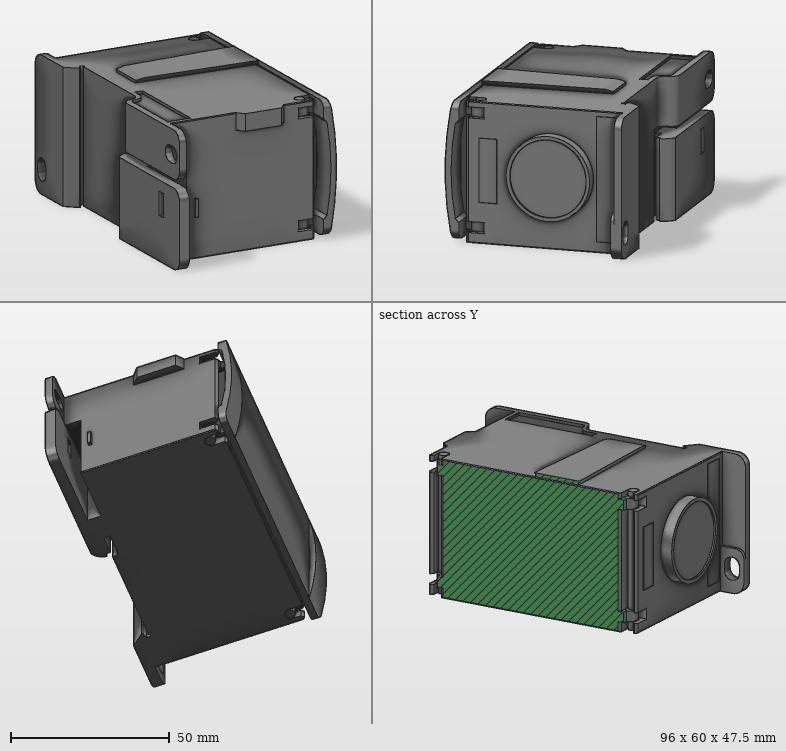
import cadquery as cq
import math


TOTAL_LENGTH = 96.0
TOTAL_DEPTH = 60.0
TOTAL_WIDTH = 47.5
BODY_WIDTH = 46.0
X_END = TOTAL_LENGTH / 2

BODY_LENGTH = 77.0
BODY_CENTER_X = -0.93
BODY_LEFT = BODY_CENTER_X - BODY_LENGTH / 2
BODY_RIGHT = BODY_CENTER_X + BODY_LENGTH / 2
WALL_TOP = 53.2
DECK_TOP = 55.2
EDGE_CHAMFER = 0.3
OVERLAP = 1.0

CHANNEL_Y = 5.9
HOOK_TIP_X = -26.1
HOOK_ROOT_X = -27.9
HOOK_FOOT_X = -29.5
HOOK_TIP_Y = (4.0, 4.4)
HOOK_NOSE = (-26.8, 3.1)
HOOK_FOOT_BEVEL = 0.5
HOOK_ROOT_Y = 5.0
RELIEF_WIDTH = 0.9
RELIEF_RISE = 0.6
STEP_START_X = 6.9
STEP_RADIUS = CHANNEL_Y / 2

FOOT_THICKNESS = 2.4
FOOT_THICK_PAD = 3.5
FOOT_CORNER = 4.0
PAD_END_Z = 15.0
PAD_CORNER = 3.0
SLOT_WIDTH = 5.5
SLOT_LENGTH = 7.6
LEFT_SLOT_CENTER = (-43.6, 8.2)
RIGHT_SLOT_CENTER = (42.3, 37.6)

CLIP_WIDTH = 26.8
CLIP_BAY_WIDTH = 29.8
CLIP_BAY_X = 4.35
CLIP_BAY_ROOF = 8.0
CLIP_BAY_LEAD_IN = (1.0, 0.6)
CLIP_NOSE_X = 5.2
CLIP_NECK_X = 6.2
CLIP_FOOT_X = 7.9
CLIP_NOSE_BULGE = (6.1, 1.6)
CLIP_BLOCK_LEFT = 12.0
CLIP_BLOCK_RIGHT = 20.0
CLIP_NOSE_Y = 3.8
CLIP_NECK_Y = 4.4
CLIP_WINDOW_X = (34.4, 37.1)
CLIP_WINDOW_Z = (15.1, 23.1)

COVER_LENGTH = 83.1
COVER_Z = (1.4, BODY_WIDTH)
COVER_MID_Z = sum(COVER_Z) / 2
COVER_BACK = 55.4
COVER_FLAT = 57.7
COVER_WALL = 2.0
COVER_CORNER = 2.9
COVER_END_LENGTH = 9.2
ARCH_HALF_LENGTH = 16.6
ARCH_END_DROP = 1.2
ARCH_END_Y = 56.6
HINGE_OFFSET_X = 34.95
HINGE_Y = 50.3
HINGE_SOCKET_RADIUS = 1.8
HINGE_PIN_RADIUS = 1.6
HINGE_ARM_WIDTH = 3.6
HINGE_ARM_INSET = 16.8
HINGE_WINDOW_Y = 48.0
ARM_SHOULDER_Y = 53.5
ARM_SHOULDER_RADIUS = 2.4
ARM_STEM_OFFSET = 0.5
LIP_PEAK_RISE = 0.9
DECK_CORNER_OFFSET = 2.6
SEAT_INSET = 1.0

DIAL_RADIUS = 13.8
DIAL_RECESS_RADIUS = 12.6
DIAL_RECESS_DEPTH = 0.6
DIAL_HEIGHT = 4.0
DIAL_CENTER = (25.7, COVER_MID_Z)
PANEL_DEPTH = 0.2
LABEL_PANEL = (43.9, 49.8, 13.3, 34.2)
FOOT_PANEL = (4.2, 11.0, 3.5, 44.2)
STRAP_MID_X = -10.75
STRAP_HALF_TOP = 8.3
STRAP_HALF_TIP = 6.8
STRAP_TIP_Y = 12.4
STRAP_BEVEL_Y = 15.4
STRAP_TIP_HEIGHT = 0.9
STRAP_UNDERCUT = 0.5
POCKET_DEPTH = 1.0
POCKET_X = (3.7, 35.6)
POCKET_Y = (FOOT_THICKNESS, 7.8)
POCKET_TOP = 10.5
POCKET_OUTER_RADIUS = 3.9
POCKET_INNER_RADIUS = 1.5
POCKET_STEP_X = 6.9
BUMP_HEIGHT = 2.3
BUMP_Y = (25.8, 42.8)
BUMP_BEVEL = 2.0
BUMP_BOTTOM_Z = 40.2
NUB_Y = (10.7, 11.7)
NUB_Z = (14.0, 20.0)
NUB_HEIGHT = 1.1


def box(x_range, y_range, z_range):
    """Axis-aligned box between the given limits."""
    size = [limits[1] - limits[0] for limits in (x_range, y_range, z_range)]
    corner = (x_range[0], y_range[0], z_range[0])
    return cq.Workplane("XY").box(*size, centered=False).translate(corner)


def plan(z=0.0):
    """Sketch plane parallel to XY at height z."""
    return cq.Workplane("XY").workplane(offset=z)


def extrude_along_x(profile, x_start, length):
    """Prism along +X from (y, z) points."""
    return cq.Workplane("YZ").workplane(offset=x_start).polyline(profile).close().extrude(length)


def mirror_x(solid):
    """Copy of a solid reflected about the housing's middle plane."""
    return solid.mirror("YZ", (BODY_CENTER_X, 0, 0))


def make_housing():
    """Housing block with the rail channel below and a hinge lip at each upper corner."""
    corner = math.sqrt(0.5)
    step_mid_x = STEP_START_X + STEP_RADIUS
    step_end_x = step_mid_x + STEP_RADIUS
    socket_x = HINGE_OFFSET_X
    lip_inner = socket_x + HINGE_SOCKET_RADIUS
    lip_outer = BODY_LENGTH / 2
    lip_mid = (lip_inner + lip_outer) / 2
    deck_corner = socket_x - DECK_CORNER_OFFSET
    relief_end = HOOK_ROOT_X + RELIEF_WIDTH
    arc_a = (STEP_START_X + STEP_RADIUS * corner, CHANNEL_Y - STEP_RADIUS * (1 - corner))
    arc_b = (step_end_x - STEP_RADIUS * corner, STEP_RADIUS * (1 - corner))
    housing = (
        plan()
        .moveTo(BODY_LEFT, 0)
        .lineTo(HOOK_FOOT_X, 0)
        .lineTo(HOOK_FOOT_X + HOOK_FOOT_BEVEL, HOOK_FOOT_BEVEL)
        .lineTo(*HOOK_NOSE)
        .lineTo(HOOK_TIP_X, HOOK_TIP_Y[0])
        .lineTo(HOOK_TIP_X, HOOK_TIP_Y[1])
        .lineTo(HOOK_ROOT_X, HOOK_ROOT_Y)
        .lineTo(HOOK_ROOT_X, CHANNEL_Y)
        .threePointArc((HOOK_ROOT_X + RELIEF_WIDTH / 2, CHANNEL_Y + RELIEF_RISE), (relief_end, CHANNEL_Y))
        .lineTo(STEP_START_X, CHANNEL_Y)
        .threePointArc(arc_a, (step_mid_x, STEP_RADIUS))
        .threePointArc(arc_b, (step_end_x, 0))
        .lineTo(BODY_RIGHT, 0)
        .lineTo(BODY_RIGHT, WALL_TOP)
        .lineTo(BODY_CENTER_X + lip_mid, WALL_TOP + LIP_PEAK_RISE)
        .lineTo(BODY_CENTER_X + lip_inner, WALL_TOP)
        .lineTo(BODY_CENTER_X + socket_x, WALL_TOP)
        .lineTo(BODY_CENTER_X + deck_corner, DECK_TOP)
        .lineTo(BODY_CENTER_X - deck_corner, DECK_TOP)
        .lineTo(BODY_CENTER_X - socket_x, WALL_TOP)
        .lineTo(BODY_CENTER_X - lip_inner, WALL_TOP)
        .lineTo(BODY_CENTER_X - lip_mid, WALL_TOP + LIP_PEAK_RISE)
        .lineTo(BODY_LEFT, WALL_TOP)
        .close()
        .extrude(BODY_WIDTH)
    )
    return housing.faces("<X or >X or >Y").edges("|X or |Y").chamfer(EDGE_CHAMFER)


def foot(x_range, thickness, z_range, rounded_side):
    """Flat foot plate with its two free corners rounded."""
    plate = box(x_range, (0, thickness), z_range)
    return plate.faces(rounded_side).edges("|Y").fillet(FOOT_CORNER)


def slot_cutter(center, angle):
    """Rounded slot running through a foot along Y."""
    plane = cq.Workplane("XZ", origin=(center[0], 0, center[1]))
    return plane.slot2D(SLOT_LENGTH, SLOT_WIDTH, angle).extrude(-CLIP_BAY_ROOF)


def make_left_foot():
    """Full-width plate with a thicker pad around the slot at the low-Z end."""
    x_range = (-X_END, BODY_LEFT + OVERLAP)
    plate = foot(x_range, FOOT_THICKNESS, (0, BODY_WIDTH), "<X")
    pad = box(x_range, (0, FOOT_THICK_PAD), (0, PAD_END_Z))
    pad = pad.edges("|Y and <X and <Z").fillet(FOOT_CORNER)
    pad = pad.edges("|Y and <X and >Z").fillet(PAD_CORNER)
    return plate.union(pad)


def make_clip_bay():
    """Open bay for the rail clip, its roof sloping near the channel."""
    lead_x, lead_y = CLIP_BAY_LEAD_IN
    outline = [
        (CLIP_BAY_X, 0),
        (X_END, 0),
        (X_END, CLIP_BAY_ROOF),
        (CLIP_BAY_X + lead_x, CLIP_BAY_ROOF),
        (CLIP_BAY_X, CLIP_BAY_ROOF - lead_y),
    ]
    return plan().polyline(outline).close().extrude(CLIP_BAY_WIDTH)


def make_rail_clip():
    """Spring clip with a rounded nose, joined to the roof of its bay by a block."""
    block = (
        plan()
        .moveTo(CLIP_FOOT_X, 0)
        .threePointArc(CLIP_NOSE_BULGE, (CLIP_NOSE_X, CLIP_NOSE_Y))
        .lineTo(CLIP_NOSE_X, CLIP_NECK_Y)
        .lineTo(CLIP_NECK_X, CLIP_NECK_Y)
        .lineTo(CLIP_NECK_X, CHANNEL_Y)
        .lineTo(CLIP_BLOCK_LEFT, CHANNEL_Y)
        .lineTo(CLIP_BLOCK_LEFT, CLIP_BAY_ROOF)
        .lineTo(CLIP_BLOCK_RIGHT, CLIP_BAY_ROOF)
        .lineTo(CLIP_BLOCK_RIGHT, 0)
        .close()
        .extrude(CLIP_WIDTH)
    )
    plate = foot((CLIP_BLOCK_RIGHT - OVERLAP, X_END), FOOT_THICK_PAD, (0, CLIP_WIDTH), ">X")
    window = box(CLIP_WINDOW_X, (0, FOOT_THICK_PAD), CLIP_WINDOW_Z)
    return block.union(plate).cut(window)


def make_cover():
    """Arched cover: a flat middle with a hollowed arch across each end."""
    half_length = COVER_LENGTH / 2
    left = BODY_CENTER_X - half_length
    outer = (
        cq.Workplane("YZ")
        .workplane(offset=left)
        .moveTo(COVER_BACK, COVER_Z[0])
        .lineTo(COVER_FLAT, COVER_Z[0])
        .threePointArc((TOTAL_DEPTH, COVER_MID_Z), (COVER_FLAT, COVER_Z[1]))
        .lineTo(COVER_BACK, COVER_Z[1])
        .close()
        .extrude(COVER_LENGTH)
    )
    rounded_block = box((left, left + COVER_LENGTH), (COVER_BACK, TOTAL_DEPTH), COVER_Z)
    outer = outer.intersect(rounded_block.edges("|Y").fillet(COVER_CORNER))
    flat_half = half_length - COVER_END_LENGTH
    flat_range = (BODY_CENTER_X - flat_half, BODY_CENTER_X + flat_half)
    outer = outer.cut(box(flat_range, (COVER_FLAT, TOTAL_DEPTH), (0, BODY_WIDTH)))
    arch_low = COVER_MID_Z - ARCH_HALF_LENGTH
    arch_high = COVER_MID_Z + ARCH_HALF_LENGTH
    hollow = (
        cq.Workplane("YZ")
        .workplane(offset=left)
        .moveTo(COVER_BACK, arch_low)
        .lineTo(ARCH_END_Y, arch_low + ARCH_END_DROP)
        .threePointArc((TOTAL_DEPTH - COVER_WALL, COVER_MID_Z), (ARCH_END_Y, arch_high - ARCH_END_DROP))
        .lineTo(COVER_BACK, arch_high)
        .close()
        .extrude(COVER_END_LENGTH)
    )
    return outer.cut(hollow).cut(mirror_x(hollow))


def make_cover_seat():
    """Thin layer joining the deck to the cover, set in from the housing's side faces."""
    half = HINGE_OFFSET_X - DECK_CORNER_OFFSET
    x_range = (BODY_CENTER_X - half, BODY_CENTER_X + half)
    z_range = (COVER_Z[0] + SEAT_INSET, COVER_Z[1] - SEAT_INSET)
    return box(x_range, (DECK_TOP - OVERLAP, COVER_BACK), z_range)


def hinge_arm_ranges():
    """Z limits of the two hinge arms, symmetric about the cover's middle."""
    upper = (COVER_MID_Z + HINGE_ARM_INSET, COVER_MID_Z + HINGE_ARM_INSET + HINGE_ARM_WIDTH)
    lower = (COVER_MID_Z - HINGE_ARM_INSET - HINGE_ARM_WIDTH, COVER_MID_Z - HINGE_ARM_INSET)
    return [lower, upper]


def make_hinge_socket():
    """Left-hand cavity: round-bottomed groove with two windows in the end wall."""
    x = BODY_CENTER_X - HINGE_OFFSET_X
    groove_x = (x - HINGE_SOCKET_RADIUS, x + HINGE_SOCKET_RADIUS)
    socket = box(groove_x, (HINGE_Y, DECK_TOP), (0, BODY_WIDTH))
    socket = socket.union(plan().center(x, HINGE_Y).circle(HINGE_SOCKET_RADIUS).extrude(BODY_WIDTH))
    for z_range in hinge_arm_ranges():
        socket = socket.union(box((BODY_LEFT, x), (HINGE_WINDOW_Y, TOTAL_DEPTH), z_range))
    return socket


def make_hinge():
    """Left-hand hinge pin and the cover arms that hold it."""
    x = BODY_CENTER_X - HINGE_OFFSET_X
    hinge = plan().center(x, HINGE_Y).circle(HINGE_PIN_RADIUS).extrude(BODY_WIDTH)
    for z_range in hinge_arm_ranges():
        arm = box((x - HINGE_PIN_RADIUS, x + HINGE_PIN_RADIUS), (HINGE_Y, ARM_SHOULDER_Y), z_range)
        arm = arm.edges("|Z and <X and >Y").fillet(ARM_SHOULDER_RADIUS)
        stem_x = (x + ARM_STEM_OFFSET, x + DECK_CORNER_OFFSET)
        stem = box(stem_x, (ARM_SHOULDER_Y - OVERLAP, COVER_BACK), z_range)
        hinge = hinge.union(arm).union(stem)
    return hinge


def make_dial():
    """Round dial on the left end wall with a shallow recess in its face."""
    face = cq.Workplane("YZ", origin=(BODY_LEFT, *DIAL_CENTER))
    dial = face.circle(DIAL_RADIUS).extrude(-DIAL_HEIGHT)
    recess = (
        face.workplane(offset=-DIAL_HEIGHT)
        .circle(DIAL_RECESS_RADIUS)
        .extrude(DIAL_RECESS_DEPTH)
    )
    return dial.cut(recess)


def panel_cutter(panel):
    """Shallow rectangular recess in the left end wall, given as y and z limits."""
    return box((BODY_LEFT, BODY_LEFT + PANEL_DEPTH), panel[:2], panel[2:])


def make_strap():
    """Tapering raised strap with undercut sides and a sloping tip."""
    end_y = COVER_BACK
    height = TOTAL_WIDTH - BODY_WIDTH
    outline = [
        (STRAP_MID_X - STRAP_HALF_TIP + STRAP_UNDERCUT, STRAP_TIP_Y),
        (STRAP_MID_X + STRAP_HALF_TIP - STRAP_UNDERCUT, STRAP_TIP_Y),
        (STRAP_MID_X + STRAP_HALF_TOP - STRAP_UNDERCUT, end_y),
        (STRAP_MID_X - STRAP_HALF_TOP + STRAP_UNDERCUT, end_y),
    ]
    flare_angle = math.degrees(math.atan2(STRAP_UNDERCUT, height))
    strap = plan(BODY_WIDTH).polyline(outline).close().extrude(height, taper=-flare_angle)
    strap = strap.intersect(box((-X_END, X_END), (STRAP_TIP_Y, end_y), (BODY_WIDTH, TOTAL_WIDTH)))
    bevel = [
        (STRAP_BEVEL_Y, TOTAL_WIDTH),
        (STRAP_TIP_Y, BODY_WIDTH + STRAP_TIP_HEIGHT),
        (STRAP_TIP_Y, TOTAL_WIDTH),
    ]
    return strap.cut(extrude_along_x(bevel, -X_END, TOTAL_LENGTH))


def make_pocket():
    """Shallow pocket in the +Z face, following the step from the channel to the foot."""
    corner = math.sqrt(0.5)
    low, shelf = POCKET_Y
    mid_x = POCKET_STEP_X + POCKET_OUTER_RADIUS
    mid_y = shelf - POCKET_OUTER_RADIUS
    end_x = mid_x + POCKET_INNER_RADIUS
    arc_a = (POCKET_STEP_X + POCKET_OUTER_RADIUS * corner, mid_y + POCKET_OUTER_RADIUS * corner)
    arc_b = (end_x - POCKET_INNER_RADIUS * corner, mid_y - POCKET_INNER_RADIUS * corner)
    return (
        plan(BODY_WIDTH - POCKET_DEPTH)
        .moveTo(POCKET_X[0], shelf)
        .lineTo(POCKET_STEP_X, shelf)
        .threePointArc(arc_a, (mid_x, mid_y))
        .threePointArc(arc_b, (end_x, low))
        .lineTo(POCKET_X[1], low)
        .lineTo(POCKET_X[1], POCKET_TOP)
        .lineTo(POCKET_X[0], POCKET_TOP)
        .close()
        .extrude(POCKET_DEPTH)
    )


def make_bump():
    """Bevelled boss on the right end wall, flush with the +Z face."""
    outer_x = BODY_RIGHT + BUMP_HEIGHT
    outline = [
        (BODY_RIGHT - OVERLAP, BUMP_Y[0]),
        (BODY_RIGHT, BUMP_Y[0]),
        (outer_x, BUMP_Y[0] + BUMP_BEVEL),
        (outer_x, BUMP_Y[1] - BUMP_BEVEL),
        (BODY_RIGHT, BUMP_Y[1]),
        (BODY_RIGHT - OVERLAP, BUMP_Y[1]),
    ]
    return plan(BUMP_BOTTOM_Z).polyline(outline).close().extrude(BODY_WIDTH - BUMP_BOTTOM_Z)


socket = make_hinge_socket()
body = make_housing().cut(socket).cut(mirror_x(socket))
body = body.cut(make_clip_bay())
for panel in (LABEL_PANEL, FOOT_PANEL):
    body = body.cut(panel_cutter(panel))
body = body.cut(make_pocket())

upper_foot = foot((BODY_RIGHT - OVERLAP, X_END), FOOT_THICKNESS, (CLIP_BAY_WIDTH, BODY_WIDTH), ">X")
body = body.union(make_left_foot()).union(upper_foot).union(make_rail_clip())
body = body.cut(slot_cutter(LEFT_SLOT_CENTER, 90)).cut(slot_cutter(RIGHT_SLOT_CENTER, 0))

cover_seat = make_cover_seat()
hinge = make_hinge()
body = body.union(cover_seat).union(make_cover()).union(hinge).union(mirror_x(hinge))
body = body.union(make_dial()).union(make_strap()).union(make_bump())
nub = box((BODY_RIGHT - OVERLAP, BODY_RIGHT + NUB_HEIGHT), NUB_Y, NUB_Z)
result = body.union(nub)